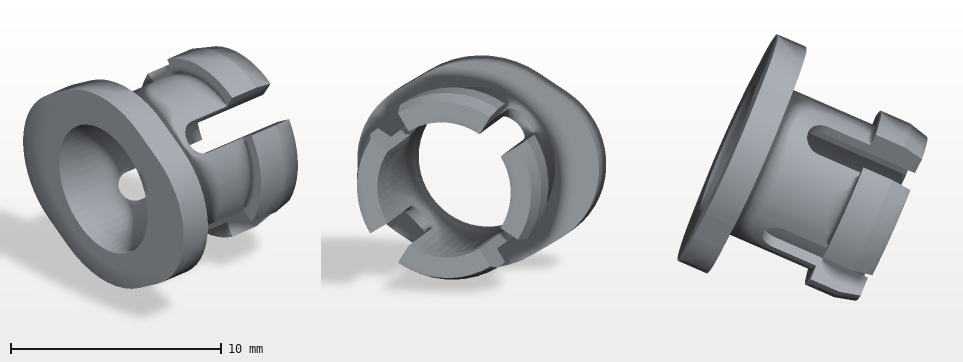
import cadquery as cq
import math

flange_length = 11.8
flange_thickness = 1.5
center_arc_radius = 5.0
end_arc_radius = 4.0

bore_diameter = 6.5
sleeve_diameter = 7.5
head_diameter = 9.0
tip_diameter = 8.5
total_depth = 8.5
head_depth = 2.5
taper_depth = 1.0

slot_count = 4
slot_angle = 26.0
slot_start = 3.0
slot_inner_distance = 2.36
slot_outer_distance = 5.31


def make_flange():
    """Oval plate with its front face on Y = 0."""
    end_center = flange_length / 2 - end_arc_radius
    tangent_sine = (center_arc_radius - end_arc_radius) / end_center
    tangent_cosine = math.sqrt(1 - tangent_sine**2)
    top_x = center_arc_radius * tangent_sine
    top_z = center_arc_radius * tangent_cosine
    side_x = end_center + end_arc_radius * tangent_sine
    side_z = end_arc_radius * tangent_cosine
    return (
        cq.Workplane("XZ")
        .moveTo(-top_x, top_z)
        .threePointArc((0, center_arc_radius), (top_x, top_z))
        .lineTo(side_x, side_z)
        .threePointArc((flange_length / 2, 0), (side_x, -side_z))
        .lineTo(top_x, -top_z)
        .threePointArc((0, -center_arc_radius), (-top_x, -top_z))
        .lineTo(-side_x, -side_z)
        .threePointArc((-flange_length / 2, 0), (-side_x, side_z))
        .close()
        .extrude(-flange_thickness)
    )


def make_sleeve():
    """Solid sleeve with a stepped, tapered snap head, turned about Y."""
    return (
        cq.Workplane("XY")
        .lineTo(sleeve_diameter / 2, 0)
        .lineTo(sleeve_diameter / 2, total_depth - head_depth)
        .lineTo(head_diameter / 2, total_depth - head_depth)
        .lineTo(head_diameter / 2, total_depth - taper_depth)
        .lineTo(tip_diameter / 2, total_depth)
        .lineTo(0, total_depth)
        .close()
        .revolve(360, (0, 0, 0), (0, 1, 0))
    )


def slot_outline(distance):
    """Round-ended slot outline at a distance along X from the axis."""
    half_width = distance * math.tan(math.radians(slot_angle / 2))
    round_center = slot_start + half_width
    return (
        cq.Workplane("YZ", origin=(distance, 0, 0))
        .moveTo(total_depth, half_width)
        .lineTo(round_center, half_width)
        .threePointArc((slot_start, 0), (round_center, -half_width))
        .lineTo(total_depth, -half_width)
        .close()
        .val()
    )


def make_slot():
    """Cutter with radial sides, widening away from the axis."""
    outlines = [slot_outline(slot_inner_distance), slot_outline(slot_outer_distance)]
    return cq.Workplane(cq.Solid.makeLoft(outlines, True))


result = make_flange().union(make_sleeve())
bore = cq.Workplane("XZ").circle(bore_diameter / 2).extrude(-total_depth)
result = result.cut(bore)

slot = make_slot()
slot_spacing = 360 / slot_count
for index in range(slot_count):
    angle = slot_spacing * (index + 0.5)
    result = result.cut(slot.rotate((0, 0, 0), (0, 1, 0), angle))